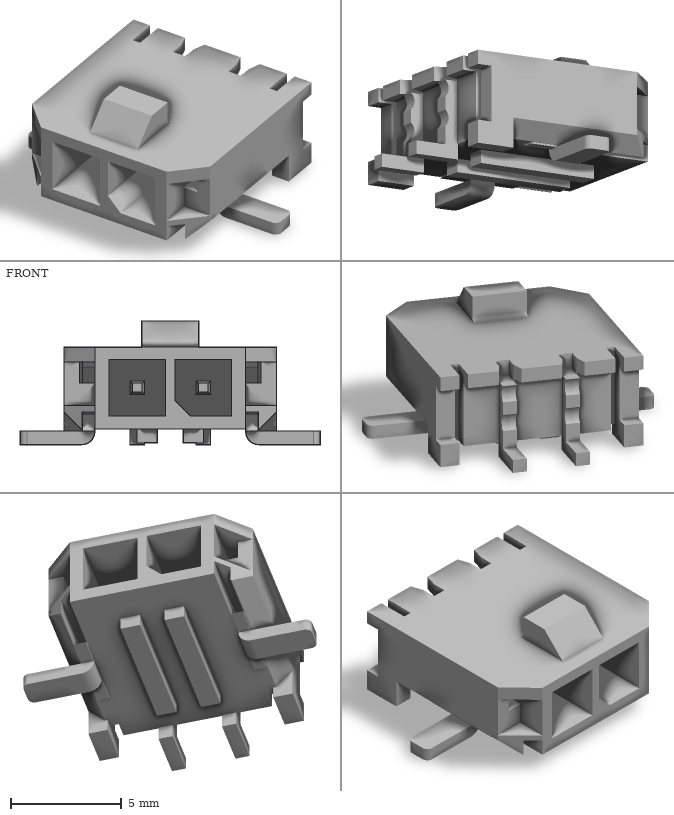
import cadquery as cq
import math


housing_half_width = 4.83
housing_length = 9.88
housing_bottom = 0.71
housing_top = 4.44
wall_rear = 9.19
flange_bottom = 3.77
foot_bottom = 0.08

corner_width = 1.42
corner_length = 1.43
face_half_width = housing_half_width - corner_width
corner_floor = 1.77
side_bevel = 0.78

foot_front = 8.0
foot_lip_top = 1.16
slot_width = 0.41
slot_outer = 3.92
slot_front = 8.41

rail_inner = 0.59
rail_outer = 1.5
rail_front = 1.7
rail_rear = 7.71

pitch = 3.0
terminal_x = (-pitch / 2, pitch / 2)
cavity_size = 2.57
cavity_depth = 6.82
cavity_center_z = 2.6
key_chamfer = 0.7

latch_width = 2.6
latch_front = 0.82
latch_crest_front = 2.0
latch_crest_rear = 3.33
latch_top = 5.64
latch_toe_radius = 0.23

terminal_width = 0.67
contact_height = 0.63
contact_center_z = cavity_center_z
contact_tip = 2.05
contact_taper_length = 0.76
contact_taper_inset = 0.11
terminal_head_front = 8.59
terminal_leg_front = 9.13
terminal_rear = 9.81
terminal_top = 3.66
tail_end = 11.35
tail_height = 0.63
scallop_radius = 0.5
scallop_depth = 0.18
scallop_heights = (1.87, 3.26)
notch_flare_width = 1.06
notch_flare_front = 9.25

nail_inner = 3.43
nail_thickness = 0.57
nail_center_y = 4.63
nail_base_length = 3.88
nail_base_bottom = 0.63
nail_shoulder = 1.4
nail_slope_run = 0.9
nail_blade_length = nail_base_length - 2 * nail_slope_run
nail_top_radius = 0.3
nail_curve_bottom = 3.51
nail_top = nail_curve_bottom + nail_top_radius
nail_foot_end = 6.82
nail_foot_width = 1.27
nail_foot_corner = 0.3
nail_bend_radius = 0.6
nail_blade_front = nail_center_y - nail_blade_length / 2

channel_width = 0.6
channel_top = 1.49
window_width = 0.71
window_bottom = 2.81
window_rear = nail_blade_front + nail_top_radius


def box(x_range, y_range, z_range):
    """Block between two limits along each axis, given in either order."""
    x0, x1 = sorted(x_range)
    y0, y1 = sorted(y_range)
    z0, z1 = sorted(z_range)
    return cq.Workplane("XY").box(x1 - x0, y1 - y0, z1 - z0, centered=False).translate((x0, y0, z0))


def side_profile(points, x_start, x_end):
    """Closed (Y, Z) outline extruded from x_start to x_end."""
    return cq.Workplane("YZ", origin=(x_start, 0, 0)).polyline(points).close().extrude(x_end - x_start)


def make_terminal(x):
    """Stamped terminal: contact blade, scalloped upright and solder tail."""
    blade_bottom = contact_center_z - contact_height / 2
    blade_top = contact_center_z + contact_height / 2
    taper_start = contact_tip + contact_taper_length
    taper_angle = math.degrees(math.atan(contact_taper_inset / contact_taper_length))
    x_left = x - terminal_width / 2
    x_right = x + terminal_width / 2
    blade = box((x_left, x_right), (taper_start, terminal_head_front), (blade_bottom, blade_top))
    tip = (
        cq.Workplane("XZ", origin=(x, taper_start, contact_center_z))
        .rect(terminal_width, contact_height)
        .extrude(contact_taper_length, taper=taper_angle)
    )
    upright_points = [
        (terminal_head_front, terminal_top),
        (terminal_rear, terminal_top),
        (terminal_rear, tail_height),
        (tail_end, tail_height),
        (tail_end, 0),
        (terminal_leg_front, 0),
        (terminal_leg_front, blade_bottom),
        (terminal_head_front, blade_bottom),
    ]
    terminal = side_profile(upright_points, x_left, x_right).union(blade).union(tip)
    scallop_y = terminal_rear - scallop_depth + scallop_radius
    for z in scallop_heights:
        scallop = (
            cq.Workplane("YZ", origin=(x_left, scallop_y, z)).circle(scallop_radius).extrude(terminal_width)
        )
        terminal = terminal.cut(scallop)
    return terminal


def make_nail(side):
    """Solder nail on one side (+1 or -1): upright blade on a tapered base, bent outward into a foot."""
    base_front = nail_center_y - nail_base_length / 2
    base_rear = nail_center_y + nail_base_length / 2
    blade_rear = nail_center_y + nail_blade_length / 2
    blade_points = [
        (base_front, nail_base_bottom),
        (base_rear, nail_base_bottom),
        (blade_rear, nail_shoulder),
        (blade_rear, nail_top),
        (nail_blade_front, nail_top),
        (nail_blade_front, nail_shoulder),
    ]
    blade = side_profile(blade_points, nail_inner, nail_inner + nail_thickness)
    blade = blade.edges("|X and >Z").fillet(nail_top_radius)

    foot_y = (nail_center_y - nail_foot_width / 2, nail_center_y + nail_foot_width / 2)
    foot = (
        box((nail_inner, nail_foot_end), foot_y, (0, nail_base_bottom))
        .edges("|Z and >X")
        .fillet(nail_foot_corner)
        .edges("|Y and <X and <Z")
        .fillet(nail_bend_radius)
    )
    nail = blade.union(foot)
    return nail if side > 0 else nail.mirror("YZ")


def make_shell():
    """Outer block with cut front corners, rear flange, bevelled sides and rear feet."""
    outline = [
        (-face_half_width, 0),
        (face_half_width, 0),
        (housing_half_width, corner_length),
        (housing_half_width, housing_length),
        (-housing_half_width, housing_length),
        (-housing_half_width, corner_length),
    ]
    height = housing_top - housing_bottom
    shell = cq.Workplane("XY", origin=(0, 0, housing_bottom)).polyline(outline).close().extrude(height)
    full_width = (-housing_half_width, housing_half_width)
    shell = shell.cut(box(full_width, (wall_rear, housing_length), (housing_bottom, flange_bottom)))

    for side in (-1, 1):
        side_face = side * housing_half_width
        bevel = (
            cq.Workplane("XZ")
            .moveTo(side_face, housing_bottom)
            .lineTo(side_face, housing_bottom + side_bevel)
            .lineTo(side * (housing_half_width - side_bevel), housing_bottom)
            .close()
            .extrude(-foot_front)
        )
        foot = box(
            (side * slot_outer, side_face), (foot_front, housing_length), (foot_bottom, foot_lip_top)
        )
        slot = box(
            (side * (slot_outer - slot_width), side * slot_outer),
            (slot_front, housing_length),
            (housing_bottom, housing_top),
        )
        rail = box(
            (side * rail_inner, side * rail_outer), (rail_front, rail_rear), (foot_bottom, housing_bottom)
        )
        shell = shell.cut(bevel).union(foot).union(rail).cut(slot)
    return shell


def make_latch():
    """Locking ramp, sloped toward the mating face and filleted into the roof at its rear."""
    arc_offset = latch_toe_radius * (1 - math.sqrt(0.5))
    return (
        cq.Workplane("YZ", origin=(-latch_width / 2, 0, 0))
        .moveTo(latch_front, housing_top)
        .lineTo(latch_crest_front, latch_top)
        .lineTo(latch_crest_rear, latch_top)
        .lineTo(latch_crest_rear, housing_top + latch_toe_radius)
        .threePointArc(
            (latch_crest_rear + arc_offset, housing_top + arc_offset),
            (latch_crest_rear + latch_toe_radius, housing_top),
        )
        .close()
        .extrude(latch_width)
    )


def cut_cavities(body):
    """Square mating cavities; the right one has a chamfered lower-left corner as a key."""
    for x in terminal_x:
        cavity = box(
            (x - cavity_size / 2, x + cavity_size / 2),
            (0, cavity_depth),
            (cavity_center_z - cavity_size / 2, cavity_center_z + cavity_size / 2),
        )
        if x > 0:
            cavity = cavity.edges("|Y and <X and <Z").chamfer(key_chamfer)
        body = body.cut(cavity)
    return body


def cut_terminal_notches(body):
    """Roof notches above the terminals, flared at the rear edge."""
    half_width = terminal_width / 2
    half_flare = notch_flare_width / 2
    for x in terminal_x:
        notch = (
            cq.Workplane("XY", origin=(x, 0, terminal_top))
            .polyline([
                (-half_width, terminal_head_front),
                (half_width, terminal_head_front),
                (half_width, notch_flare_front),
                (half_flare, housing_length),
                (-half_flare, housing_length),
                (-half_width, notch_flare_front),
            ])
            .close()
            .extrude(housing_top - terminal_top)
        )
        body = body.cut(notch)
    return body


def cut_corners(body):
    """Open pocket in each front corner, with the window and the lower channel that run back to the nail."""
    for side in (-1, 1):
        inner = side * face_half_width
        pocket = box((inner, side * housing_half_width), (0, corner_length), (corner_floor, flange_bottom))
        window = box(
            (inner, side * (face_half_width + window_width)),
            (corner_length, window_rear),
            (window_bottom, flange_bottom),
        )
        channel = box(
            (inner, side * (face_half_width + channel_width)),
            (0, nail_center_y + nail_base_length / 2),
            (housing_bottom, channel_top),
        )
        body = body.cut(pocket).cut(window).cut(channel)
    return body


terminals = [make_terminal(x) for x in terminal_x]
nails = [make_nail(side) for side in (-1, 1)]

housing = make_shell().union(make_latch())
housing = cut_cavities(housing)
housing = cut_terminal_notches(housing)
housing = cut_corners(housing)
for insert in terminals + nails:
    housing = housing.cut(insert)

result = cq.Compound.makeCompound([housing.val(), *[body.val() for body in terminals + nails]])